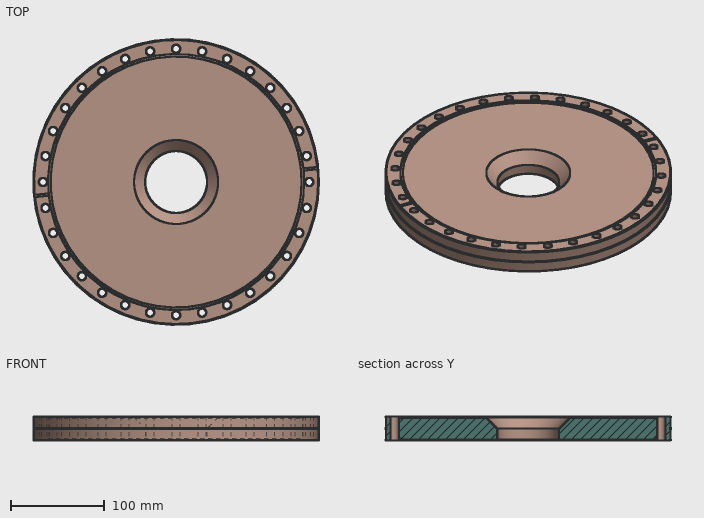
import cadquery as cq

outer_radius = 152.5
thickness = 26.0
rim_chamfer = 1.0
middle_z = thickness / 2

side_groove_depth = 0.5
side_groove_half_width = 0.5

trench_radius = 136.5
knife_radius = 133.8
trench_depth = 2.0
knife_drop = 1.2
face_z = thickness - knife_drop
trench_z = thickness - trench_depth

bore_radius = 33.0
countersink_depth = 12.0
countersink_radius = bore_radius + countersink_depth

bolt_count = 32
bolt_circle_radius = 142.0
bolt_hole_diameter = 8.5

leak_groove_width = 2.5
leak_groove_depth = 0.5
leak_groove_angle = 180 / bolt_count


def make_upper_half():
    """Revolve the section above the middle plane, from the bore outwards and back over the top."""
    section = (
        cq.Workplane("XZ")
        .moveTo(bore_radius, middle_z)
        .lineTo(outer_radius - side_groove_depth, middle_z)
        .lineTo(outer_radius, middle_z + side_groove_half_width)
        .lineTo(outer_radius, thickness - rim_chamfer)
        .lineTo(outer_radius - rim_chamfer, thickness)
        .lineTo(trench_radius, thickness)
        .lineTo(trench_radius, trench_z)
        .lineTo(knife_radius, face_z)
        .lineTo(bore_radius, face_z)
        .close()
    )
    return section.revolve(360, (0, 0, 0), (0, 1, 0))


def cut_leak_grooves(body):
    """Cut two opposite round-bottomed radial grooves from the trench to the outer side."""
    half_width = leak_groove_width / 2
    groove = (
        cq.Workplane("YZ", origin=(knife_radius, 0, thickness))
        .moveTo(-half_width, 0)
        .threePointArc((0, -leak_groove_depth), (half_width, 0))
        .close()
        .extrude(outer_radius - knife_radius)
    )
    for angle in (leak_groove_angle, leak_groove_angle + 180):
        body = body.cut(groove.rotate((0, 0, 0), (0, 0, 1), angle))
    return body


def join_with_mirror_image(upper_half):
    """Add the same sealing face on the underside."""
    lower_half = upper_half.mirror("XY", (0, 0, middle_z))
    return upper_half.union(lower_half, clean=True)


def cut_countersink(body):
    """Widen the upper end of the bore with a cone."""
    cone = cq.Solid.makeCone(
        bore_radius,
        countersink_radius,
        countersink_depth,
        pnt=cq.Vector(0, 0, face_z - countersink_depth),
    )
    return body.cut(cq.Workplane(cone))


def cut_bolt_holes(body):
    """Drill the ring of through holes, the first one on the X axis."""
    holes = (
        cq.Workplane("XY")
        .polarArray(bolt_circle_radius, 0, 360, bolt_count)
        .circle(bolt_hole_diameter / 2)
        .extrude(thickness)
    )
    return body.cut(holes)


flange = join_with_mirror_image(cut_leak_grooves(make_upper_half()))
result = cut_bolt_holes(cut_countersink(flange))